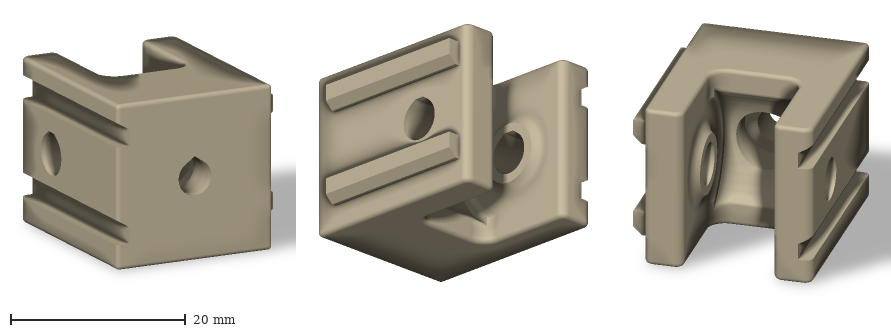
import cadquery as cq
import math

LENGTH = 24.4
WIDTH = 20.0
HEIGHT = 19.6
SLOT_WIDTH = 10.75
SLOT_DEPTH = 12.75
SLOT_CORNER_RADIUS = 2.0
ARM_END_RADIUS = 1.0
EDGE_RADIUS = ARM_END_RADIUS / 2

MID_Y = WIDTH / 2
MID_Z = HEIGHT / 2
ARM_THICKNESS = (WIDTH - SLOT_WIDTH) / 2

CROSS_HOLE_X = 7.88
CROSS_HOLE_RADIUS = 2.5
CROSS_HOLE_FLAT = 2.6
PAD_RADIUS = 3.6
PAD_HEIGHT = 0.9
PAD_FLARE_RADIUS = 2.0
PAD_ROOT = 0.25

RELIEF_RADIUS = 8.5
RELIEF_WIDTH = 10.0
RELIEF_RIM_RADIUS = EDGE_RADIUS
ARM_RELIEF_RADIUS = 7.0
ARM_RELIEF_COVE = 1.0

END_HOLE_RADIUS = 2.1
COUNTERBORE_RADIUS = 7.25 / 2
COUNTERBORE_FLOOR_X = 20.0

HOLE_ROOF_SLOPE = math.radians(35)

RAIL_DEPTH = 1.6
RAIL_HEIGHT = 2.93
RAIL_BASES = (3.0, 14.55)
RAIL_START = 1.4
RAIL_LENGTH = 20.0
RAIL_CHAMFER = 1.0
RAIL_ROOT = 0.25
GROOVE_ROOF_SLOPE = math.radians(30)

PICK_MARGIN = 0.25


def make_body():
    """Rounded block with the open slot."""
    slot_y0 = ARM_THICKNESS
    slot_y1 = WIDTH - ARM_THICKNESS
    outline = [
        (0, 0), (LENGTH, 0), (LENGTH, WIDTH), (0, WIDTH),
        (0, slot_y1), (SLOT_DEPTH, slot_y1), (SLOT_DEPTH, slot_y0), (0, slot_y0),
    ]
    body = cq.Workplane("XY").polyline(outline).close().extrude(HEIGHT)
    body = body.edges("|Z and <X").fillet(ARM_END_RADIUS)
    slot_corners = cq.selectors.BoxSelector(
        (SLOT_DEPTH - PICK_MARGIN, 0, 0), (SLOT_DEPTH + PICK_MARGIN, WIDTH, HEIGHT)
    )
    body = body.edges("|Z").edges(slot_corners).fillet(SLOT_CORNER_RADIUS)
    return body.edges("(|Z and >X) or >Z or <Z").fillet(EDGE_RADIUS)


def cylinder_y(radius, width):
    """Cylinder around the cross hole axis, centred between the arms."""
    return (
        cq.Workplane("XZ", origin=(CROSS_HOLE_X, MID_Y, MID_Z))
        .circle(radius)
        .extrude(width / 2, both=True)
    )


def cut_slot_relief(body):
    """Round relief in the slot end wall, with a rounded rim and coved arm faces."""
    body = body.cut(cylinder_y(RELIEF_RADIUS, RELIEF_WIDTH))
    rim_zone = cq.selectors.BoxSelector(
        (SLOT_DEPTH - SLOT_CORNER_RADIUS, ARM_THICKNESS, MID_Z - RELIEF_RADIUS),
        (SLOT_DEPTH + PICK_MARGIN, WIDTH - ARM_THICKNESS, MID_Z + RELIEF_RADIUS),
    )
    body = body.edges(rim_zone).edges("not |Z").fillet(RELIEF_RIM_RADIUS)
    arm_relief = cylinder_y(ARM_RELIEF_RADIUS + ARM_RELIEF_COVE, SLOT_WIDTH)
    return body.cut(arm_relief.edges("%CIRCLE").fillet(ARM_RELIEF_COVE))


def make_pads():
    """Raised pad on each arm, flaring with a concave arc into the arm face."""
    rise_to_centre = PAD_FLARE_RADIUS - PAD_HEIGHT
    flare_run = math.sqrt(PAD_FLARE_RADIUS**2 - rise_to_centre**2)
    base_radius = PAD_RADIUS + flare_run
    mid_angle = (math.pi / 2 + math.asin(rise_to_centre / PAD_FLARE_RADIUS)) / 2
    flare_mid = (
        base_radius - PAD_FLARE_RADIUS * math.cos(mid_angle),
        PAD_FLARE_RADIUS - PAD_FLARE_RADIUS * math.sin(mid_angle),
    )
    pad = (
        cq.Workplane("XY")
        .moveTo(0, -PAD_ROOT)
        .lineTo(base_radius, -PAD_ROOT)
        .lineTo(base_radius, 0)
        .threePointArc(flare_mid, (PAD_RADIUS, PAD_HEIGHT))
        .lineTo(0, PAD_HEIGHT)
        .close()
        .revolve(360, (0, 0, 0), (0, 1, 0))
        .translate((CROSS_HOLE_X, ARM_THICKNESS, MID_Z))
    )
    return pad.union(pad.mirror("XZ", (0, MID_Y, 0)))


def teardrop(plane, origin, radius, length):
    """Hole with a pointed roof that rises at HOLE_ROOF_SLOPE, extruded both ways from its origin."""
    side = (radius * math.sin(HOLE_ROOF_SLOPE), radius * math.cos(HOLE_ROOF_SLOPE))
    return (
        cq.Workplane(plane, origin=origin)
        .moveTo(*side)
        .lineTo(0, radius / math.cos(HOLE_ROOF_SLOPE))
        .lineTo(-side[0], side[1])
        .threePointArc((0, -radius), side)
        .close()
        .extrude(length, both=True)
    )


def make_cross_hole():
    """Teardrop hole along Y through both arms, with the point cut off flat."""
    centre = (CROSS_HOLE_X, MID_Y, MID_Z)
    hole = teardrop("XZ", centre, CROSS_HOLE_RADIUS, WIDTH)
    limit = cq.Workplane("XY", origin=centre).box(LENGTH, 2 * WIDTH, 2 * CROSS_HOLE_FLAT)
    return hole.intersect(limit)


def make_end_hole():
    """Teardrop hole along X from the slot to the far end, with its counterbore."""
    hole = teardrop("YZ", (LENGTH, MID_Y, MID_Z), END_HOLE_RADIUS, LENGTH - SLOT_DEPTH)
    counterbore = (
        cq.Workplane("YZ", origin=(SLOT_DEPTH, MID_Y, MID_Z))
        .circle(COUNTERBORE_RADIUS)
        .extrude(COUNTERBORE_FLOOR_X - SLOT_DEPTH)
    )
    return hole.union(counterbore)


def make_rail(base_z):
    """Rail on the +Y side, chamfered along its lower outer edge."""
    outer_y = WIDTH + RAIL_DEPTH
    root_y = WIDTH - RAIL_ROOT
    profile = [
        (root_y, base_z),
        (outer_y - RAIL_CHAMFER, base_z),
        (outer_y, base_z + RAIL_CHAMFER),
        (outer_y, base_z + RAIL_HEIGHT),
        (root_y, base_z + RAIL_HEIGHT),
    ]
    return (
        cq.Workplane("YZ", origin=(RAIL_START, 0, 0))
        .polyline(profile)
        .close()
        .extrude(RAIL_LENGTH)
    )


def make_groove(base_z):
    """Groove on the -Y side with a sloping roof, open at both ends."""
    mouth_top = base_z + RAIL_HEIGHT
    profile = [
        (0, base_z),
        (RAIL_DEPTH, base_z),
        (RAIL_DEPTH, mouth_top - RAIL_DEPTH * math.tan(GROOVE_ROOF_SLOPE)),
        (0, mouth_top),
    ]
    return cq.Workplane("YZ").polyline(profile).close().extrude(LENGTH)


result = cut_slot_relief(make_body())
result = result.union(make_pads())
result = result.cut(make_cross_hole())
result = result.cut(make_end_hole())
for rail_base in RAIL_BASES:
    result = result.union(make_rail(rail_base))
    result = result.cut(make_groove(rail_base))